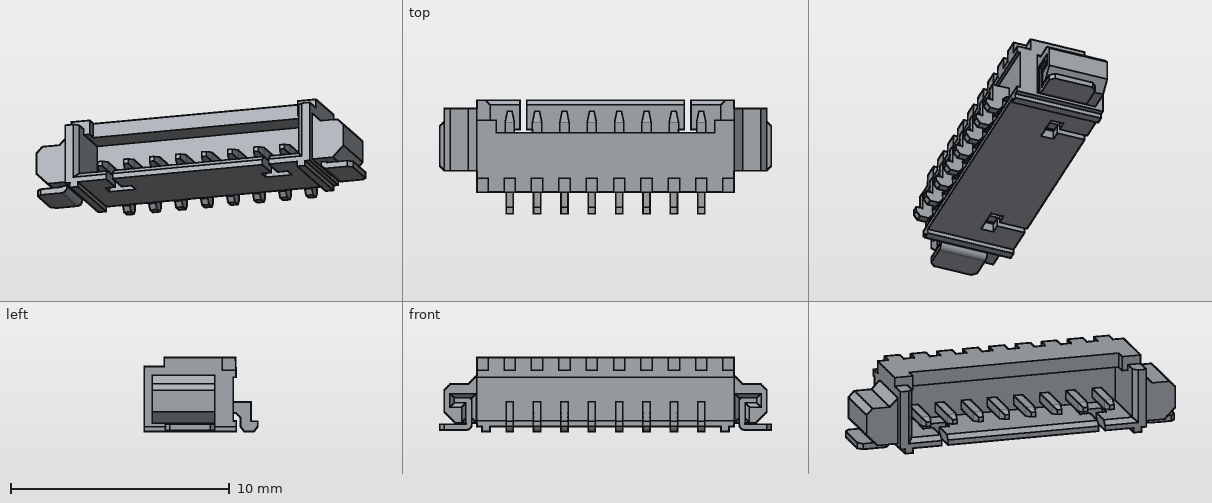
import cadquery as cq

LENGTH = 15.15
HEIGHT = 3.4
DEPTH = 5.2
CONTACT_COUNT = 8
PITCH = 1.25

BODY_LENGTH = 11.75
BODY_DEPTH = 4.21
BODY_BOTTOM = 0.23
WALL_RECESS = 0.14
RECESS_BOTTOM = 0.5
RECESS_TOP = 2.48
FRONT_DRAFT = 0.03
RAIL_INSET = 0.23
RAIL_WIDTH = 0.38
NOTCH_WIDTH = 0.52
NOTCH_DEPTH = 0.65
NOTCH_HEIGHT = 0.59

CAVITY_WALL = 0.6
CAVITY_DEPTH = 2.88
CAVITY_FLOOR = 0.68
CAVITY_CEILING = 2.73
LEAD_IN = 0.21
ROOF_CUT_WALL = 0.88
ROOF_CUT_DEPTH = 1.48
SHELF_DEPTH = 0.91
SHELF_DROP = 0.41
KEY_SLOT_OFFSET = 3 * PITCH
KEY_SLOT_WIDTH = 0.3
KEY_SLOT_DEPTH = 1.35
KEY_WINDOW_DEPTH = 0.6

PIN_WIDTH = 0.42
PIN_TIP_WIDTH = 0.21
PIN_TIP_Y = -0.5
PIN_TAPER_LENGTH = 0.52
TAIL_WIDTH = 0.33
TAIL_TOP = 1.36
TAIL_NECK_BOTTOM = 0.85
TAIL_OUTER = 4.9
TAIL_INNER = 4.4
TOE_TOP = 0.48
TOE_CHAMFER = 0.18
TOE_CHAMFER_HEIGHT = 0.24
ELBOW_CHAMFER = 0.2

EAR_REACH = 1.5
EAR_BACK = 0.38
EAR_FRONT = 3.23
EAR_BOTTOM = 0.4
EAR_TOP = 2.18
EAR_ROOT = 0.4
EAR_TOP_CHAMFER = 0.29
EAR_LOWER_CHAMFER = 0.52
CLIP_BACK = 0.97
CLIP_SHEET = 0.27
CLIP_FOOT_BOTTOM = 0.08
CLIP_GAP = 0.23
CLIP_TOP = 1.55
CLIP_HOOK_LENGTH = 0.8
CLIP_HOOK_THICKNESS = 0.23
CLIP_CORNER_CHAMFER = 0.21
CLIP_BEND_RADIUS = 0.25
CLIP_HOOK_RADIUS = 0.12
POCKET_FLARE = 0.2
POCKET_SILL = 0.03

HALF_LENGTH = LENGTH / 2
HALF_BODY = BODY_LENGTH / 2
LEG_INNER_X = HALF_BODY + CLIP_GAP
LEG_OUTER_X = LEG_INNER_X + CLIP_SHEET
HOOK_END_X = LEG_INNER_X + CLIP_HOOK_LENGTH
HOOK_BOTTOM = CLIP_TOP - CLIP_HOOK_THICKNESS
CONTACT_XS = [(i - (CONTACT_COUNT - 1) / 2) * PITCH for i in range(CONTACT_COUNT)]


def block(x0, x1, y0, y1, z0, z1):
    """Box between two opposite corners."""
    return cq.Workplane("XY").box(x1 - x0, y1 - y0, z1 - z0, centered=False).translate((x0, y0, z0))


def side_profile(points, width):
    """Extrude a (Y, Z) outline symmetrically about X = 0."""
    return cq.Workplane("YZ").polyline(points).close().extrude(width / 2, both=True)


def end_profile(points, y_front, y_back):
    """Extrude an (X, Z) outline from y_front back to y_back."""
    return cq.Workplane("XZ", origin=(0, y_back, 0)).polyline(points).close().extrude(y_back - y_front)


def make_body():
    shelf_z = HEIGHT - SHELF_DROP
    wall_y = WALL_RECESS - BODY_DEPTH
    body = side_profile(
        [
            (0, BODY_BOTTOM),
            (0, shelf_z),
            (-SHELF_DEPTH, shelf_z),
            (-SHELF_DEPTH, HEIGHT),
            (FRONT_DRAFT - BODY_DEPTH, HEIGHT),
            (-BODY_DEPTH, RECESS_TOP),
            (wall_y, RECESS_TOP),
            (wall_y, RECESS_BOTTOM),
            (-BODY_DEPTH, RECESS_BOTTOM),
            (-BODY_DEPTH, BODY_BOTTOM),
        ],
        BODY_LENGTH,
    )
    rail_center = HALF_BODY - RAIL_INSET - RAIL_WIDTH / 2
    for x in (-rail_center, rail_center):
        half = RAIL_WIDTH / 2
        body = body.union(block(x - half, x + half, -BODY_DEPTH, 0, 0, BODY_BOTTOM))
    return body


def cut_notches(body):
    """Notches along the top front edge: one above each contact and one at each corner."""
    notch_back = NOTCH_DEPTH - BODY_DEPTH
    corner_center = HALF_BODY - NOTCH_WIDTH / 2
    for x in CONTACT_XS + [-corner_center, corner_center]:
        half = NOTCH_WIDTH / 2
        body = body.cut(block(x - half, x + half, -BODY_DEPTH, notch_back, HEIGHT - NOTCH_HEIGHT, HEIGHT))
    return body


def mouth_section(margin):
    """(X, Z) outline of the cavity mouth, enlarged by a margin at its floor and end walls."""
    half = HALF_BODY - CAVITY_WALL + margin
    floor_z = CAVITY_FLOOR - margin
    return [(-half, floor_z), (half, floor_z), (half, HEIGHT), (-half, HEIGHT)]


def cut_cavity(body):
    cavity_x = HALF_BODY - CAVITY_WALL
    roof_x = HALF_BODY - ROOF_CUT_WALL
    body = body.cut(block(-cavity_x, cavity_x, -CAVITY_DEPTH, 0, CAVITY_FLOOR, CAVITY_CEILING))
    body = body.cut(block(-roof_x, roof_x, -ROOF_CUT_DEPTH, 0, CAVITY_FLOOR, HEIGHT))
    body = body.cut(block(-cavity_x, cavity_x, -SHELF_DEPTH, 0, CAVITY_FLOOR, HEIGHT))
    lead_in = (
        cq.Workplane("XZ")
        .polyline(mouth_section(LEAD_IN))
        .close()
        .workplane(offset=LEAD_IN)
        .polyline(mouth_section(0))
        .close()
        .loft(ruled=True)
    )
    body = body.cut(lead_in)
    for x in (-KEY_SLOT_OFFSET, KEY_SLOT_OFFSET):
        half_slot = KEY_SLOT_WIDTH / 2
        half_window = PITCH / 2
        window_front = -KEY_SLOT_DEPTH - KEY_WINDOW_DEPTH
        slot = block(x - half_slot, x + half_slot, -KEY_SLOT_DEPTH, 0, 0, CAVITY_FLOOR)
        window = block(x - half_window, x + half_window, window_front, -KEY_SLOT_DEPTH, 0, CAVITY_FLOOR)
        body = body.cut(slot).cut(window)
    return body


def make_contact():
    """Square pin with a pyramidal tip, and a gull-wing tail, centred on X = 0."""
    pin_z = TAIL_TOP - PIN_WIDTH / 2
    taper_y = PIN_TIP_Y - PIN_TAPER_LENGTH
    half_width = PIN_WIDTH / 2
    pin_root_y = WALL_RECESS - BODY_DEPTH
    pin = block(-half_width, half_width, pin_root_y, taper_y, pin_z - half_width, pin_z + half_width)
    tip = (
        cq.Workplane("XZ", origin=(0, taper_y, pin_z))
        .rect(PIN_WIDTH, PIN_WIDTH)
        .workplane(offset=-PIN_TAPER_LENGTH)
        .rect(PIN_TIP_WIDTH, PIN_TIP_WIDTH)
        .loft()
    )
    tail = side_profile(
        [
            (-CAVITY_DEPTH, TAIL_TOP),
            (-TAIL_OUTER, TAIL_TOP),
            (-TAIL_OUTER, TOE_TOP),
            (-DEPTH, TOE_TOP),
            (-DEPTH, TOE_CHAMFER_HEIGHT),
            (-DEPTH + TOE_CHAMFER, 0),
            (-TAIL_INNER - TOE_CHAMFER, 0),
            (-TAIL_INNER, TOE_CHAMFER_HEIGHT),
            (-TAIL_INNER, TAIL_NECK_BOTTOM - ELBOW_CHAMFER),
            (-TAIL_INNER + ELBOW_CHAMFER, TAIL_NECK_BOTTOM),
            (-CAVITY_DEPTH, TAIL_NECK_BOTTOM),
        ],
        TAIL_WIDTH,
    )
    return pin.union(tip).union(tail)


def hooked_outline(bottom_z, margin):
    """(X, Z) outline of the clip leg and hook, enlarged by a margin except at its bottom."""
    return [
        (LEG_INNER_X - margin, bottom_z),
        (LEG_INNER_X - margin, CLIP_TOP + margin),
        (HOOK_END_X + margin, CLIP_TOP + margin),
        (HOOK_END_X + margin, HOOK_BOTTOM - margin),
        (LEG_OUTER_X + margin, HOOK_BOTTOM - margin),
        (LEG_OUTER_X + margin, bottom_z),
    ]


def pocket_section(margin):
    """Outline of the flared pocket mouth; its sill rises as the margin shrinks to nothing."""
    sill_z = EAR_BOTTOM + POCKET_SILL + POCKET_FLARE - margin
    return hooked_outline(sill_z, margin)


def make_ear():
    """Hollow-fronted ear on the +X end of the body."""
    outer_x = HALF_BODY + EAR_REACH
    ear = end_profile(
        [
            (HALF_BODY, EAR_BOTTOM),
            (outer_x - EAR_LOWER_CHAMFER, EAR_BOTTOM),
            (outer_x, EAR_BOTTOM + EAR_LOWER_CHAMFER),
            (outer_x, EAR_TOP - EAR_TOP_CHAMFER),
            (outer_x - EAR_TOP_CHAMFER, EAR_TOP),
            (HALF_BODY + EAR_ROOT, EAR_TOP),
            (HALF_BODY, EAR_TOP + EAR_ROOT),
        ],
        -EAR_FRONT,
        -EAR_BACK,
    )
    mouth = (
        cq.Workplane("XZ", origin=(0, -EAR_FRONT, 0))
        .polyline(pocket_section(POCKET_FLARE))
        .close()
        .workplane(offset=-POCKET_FLARE)
        .polyline(pocket_section(0))
        .close()
        .loft(ruled=True)
    )
    return ear.cut(mouth)


def make_clip():
    """Bent sheet clip held in the +X ear, with its solder foot below."""
    foot_top = CLIP_FOOT_BOTTOM + CLIP_SHEET
    mid_y = -(EAR_FRONT + CLIP_BACK) / 2
    hook_corner = cq.selectors.NearestToPointSelector((LEG_INNER_X, mid_y, CLIP_TOP))
    foot_corner = cq.selectors.NearestToPointSelector((LEG_INNER_X, mid_y, CLIP_FOOT_BOTTOM))
    upper = end_profile(hooked_outline(CLIP_FOOT_BOTTOM, 0), -EAR_FRONT, -CLIP_BACK)
    upper = upper.edges(hook_corner).fillet(CLIP_HOOK_RADIUS)
    foot = block(LEG_INNER_X, HALF_LENGTH, -EAR_FRONT, -CLIP_BACK, CLIP_FOOT_BOTTOM, foot_top)
    foot = foot.edges("|Z and >X").chamfer(CLIP_CORNER_CHAMFER)
    clip = upper.union(foot)
    return clip.edges(foot_corner).fillet(CLIP_BEND_RADIUS)


result = cut_cavity(cut_notches(make_body()))
contact = make_contact()
for contact_x in CONTACT_XS:
    result = result.union(contact.translate((contact_x, 0, 0)))
end_assembly = make_ear().union(make_clip())
result = result.union(end_assembly).union(end_assembly.mirror("YZ"))